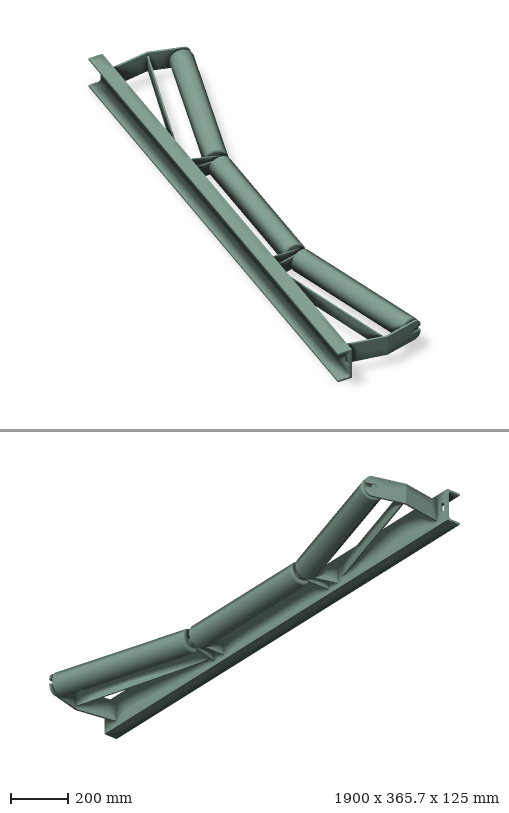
import cadquery as cq
import math

beam_length = 1900.0
beam_depth = 55.0
beam_height = 125.0
beam_wall = 8.0
beam_fillet = 10.0
mount_slot_width = 19.0
mount_slot_height = 35.0
mount_slot_radius = 4.0
mount_slot_from_end = 28.0

roller_length = 570.0
roller_radius = 44.5
roller_chamfer = 4.0
wing_angle = 15.0
centre_axis_y = 173.0
centre_axis_z = -18.0
wing_mid_x = 595.0
wing_mid_y = 250.0
shaft_radius = 10.0
shaft_flat_width = 16.0
wing_shaft_inner_reach = 11.0
wing_shaft_outer_reach = 13.0

inner_bracket_width = 51.0
inner_bracket_thickness = 6.0
inner_bracket_top = 200.0
inner_bracket_gap = 2.0
inner_bracket_top_span = 15.0
inner_bend_radius = 4.0
inner_corner_radius = 17.0
outer_bracket_width = 80.0
outer_bracket_thickness = 8.0
outer_bend_x = 915.0
outer_bend_y = 213.0
outer_foot_x = 891.0
outer_tip_length = 155.0
outer_tip_radius = 27.0

brace_thickness = 6.0
brace_width = 53.0
brace_foot_x = 375.0

overrun = 19.0
slot_reach = 76.0

wing_sin = math.sin(math.radians(wing_angle))
wing_cos = math.cos(math.radians(wing_angle))
wing_tan = wing_sin / wing_cos

wing_drop_sin = -centre_axis_z / roller_length
wing_drop_cos = math.sqrt(1 - wing_drop_sin**2)

centre_axis = cq.Plane(origin=(0, centre_axis_y, centre_axis_z), xDir=(0, 1, 0), normal=(1, 0, 0))
wing_axis = cq.Plane(
    origin=(-wing_mid_x, wing_mid_y, centre_axis_z / 2),
    xDir=(wing_sin, wing_cos, 0),
    normal=(wing_cos * wing_drop_cos, -wing_sin * wing_drop_cos, -wing_drop_sin),
)

beam_trim = cq.Workplane("XY").box(2 * beam_length, 2 * beam_depth, 2 * beam_height)


def make_beam():
    inside_depth = beam_depth - beam_wall
    inside_height = beam_height - 2 * beam_wall
    beam = cq.Workplane("XY").box(beam_length, beam_depth, beam_height, centered=(True, False, True))
    channel_space = (
        cq.Workplane("XY")
        .box(beam_length, inside_depth, inside_height, centered=(True, False, True))
        .edges(">Y and |X")
        .fillet(beam_fillet)
    )
    mount_slots = (
        cq.Workplane("XZ")
        .pushPoints([(side * (beam_length / 2 - mount_slot_from_end), 0) for side in (-1, 1)])
        .rect(mount_slot_width, mount_slot_height)
        .extrude(-beam_depth)
        .edges("|Y")
        .fillet(mount_slot_radius)
    )
    return beam.cut(channel_space).cut(mount_slots)


def make_roller(axis, start_reach, end_reach):
    """A roller about the normal of `axis`; its flatted shaft ends reach past its two end faces."""
    barrel = (
        cq.Workplane("XY", origin=(0, 0, -roller_length / 2))
        .circle(roller_radius)
        .extrude(roller_length)
        .edges("<Z or >Z")
        .chamfer(roller_chamfer)
    )
    shaft_length = roller_length + start_reach + end_reach
    shaft = (
        cq.Workplane("XY", origin=(0, 0, -roller_length / 2 - start_reach))
        .circle(shaft_radius)
        .extrude(shaft_length)
        .intersect(cq.Workplane("XY").box(2 * shaft_radius, shaft_flat_width, 2 * shaft_length))
    )
    return barrel.union(shaft).val().moved(cq.Location(axis))


def make_shaft_slot(axis):
    """Cutter for the open slots at both ends of a roller, round-bottomed where the shaft rests."""
    slot_length = roller_length + 2 * slot_reach
    rest = cq.Workplane("XY", origin=(0, 0, -slot_length / 2)).circle(shaft_radius).extrude(slot_length)
    mouth = cq.Workplane("XY").box(slot_reach, 2 * shaft_radius, slot_length, centered=(False, True, True))
    flats = cq.Workplane("XY").box(2 * slot_reach, shaft_flat_width, slot_length)
    return rest.union(mouth).intersect(flats).val().moved(cq.Location(axis))


def make_folded_bar(points, width, thickness):
    """Flat bar on edge, bent along `points`; its thickness lies to the right of the path."""
    normals = []
    for (x0, y0), (x1, y1) in zip(points, points[1:]):
        run = math.hypot(x1 - x0, y1 - y0)
        normals.append(((y1 - y0) / run, (x0 - x1) / run))
    before = normals[:1] + normals
    after = normals + normals[-1:]
    inner_points = []
    for (x, y), (ax, ay), (bx, by) in zip(points, before, after):
        mitre = thickness / (1 + ax * bx + ay * by)
        inner_points.append((x + mitre * (ax + bx), y + mitre * (ay + by)))
    outline = points + inner_points[::-1]
    return cq.Workplane("XY", origin=(0, 0, -width / 2)).polyline(outline).close().extrude(width)


def make_inner_bracket():
    """Left inner bracket: an upright leg, a short top and a leg square to the wing roller."""
    upright_x = -(roller_length / 2 + inner_bracket_gap)
    top_left_x = upright_x - inner_bracket_thickness - inner_bracket_top_span
    foot_y = beam_depth - overrun
    path = [
        (top_left_x - (inner_bracket_top - foot_y) * wing_tan, foot_y),
        (top_left_x, inner_bracket_top),
        (upright_x, inner_bracket_top),
        (upright_x, foot_y),
    ]
    bracket = make_folded_bar(path, inner_bracket_width, inner_bracket_thickness)
    bracket = bracket.edges("|Z and >Y").fillet(inner_bend_radius)
    rounded_outline = (
        cq.Workplane("XY")
        .box(beam_length, inner_bracket_top, inner_bracket_width, centered=(True, False, True))
        .edges(">Y and |X")
        .fillet(inner_corner_radius)
    )
    return bracket.intersect(rounded_outline).translate((0, 0, centre_axis_z)).cut(beam_trim)


def make_outer_bracket():
    """Left outer bracket: a leaning foot and a rounded tip square to the wing roller."""
    lean = (outer_bend_x - outer_foot_x) / (outer_bend_y - beam_depth)
    path = [
        (-outer_foot_x + lean * overrun, beam_depth - overrun),
        (-outer_bend_x, outer_bend_y),
        (-outer_bend_x + outer_tip_length * wing_sin, outer_bend_y + outer_tip_length * wing_cos),
    ]
    bracket = make_folded_bar(path, outer_bracket_width, outer_bracket_thickness)
    tip = cq.selectors.DirectionMinMaxSelector(cq.Vector(wing_sin, wing_cos, 0))
    bracket = bracket.faces(tip).edges("<Z or >Z").fillet(outer_tip_radius)
    return bracket.cut(beam_trim)


def make_brace(outer_bracket):
    """Left brace: a flat bar from the outer bracket's bend down to the beam, fitted to both."""
    start_x = -outer_bend_x + outer_bracket_thickness / 2
    run = start_x + brace_foot_x
    rise = beam_depth - outer_bend_y
    length = math.hypot(run, rise)
    brace = (
        cq.Workplane("XY")
        .box(length + overrun, brace_thickness, brace_width, centered=(False, True, True))
        .rotate((0, 0, 0), (0, 0, 1), math.degrees(math.atan2(rise, -run)))
        .translate((start_x, outer_bend_y, 0))
    )
    return brace.cut(outer_bracket).cut(beam_trim)


beam = make_beam()
centre_slot = cq.Workplane(make_shaft_slot(centre_axis))
wing_slot = cq.Workplane(make_shaft_slot(wing_axis))
inner_shaft_reach = inner_bracket_gap + inner_bracket_thickness
outer_bracket = make_outer_bracket()
brace = make_brace(outer_bracket)
outer_bracket = outer_bracket.cut(wing_slot)
inner_bracket = make_inner_bracket().cut(centre_slot).cut(wing_slot)
centre_roller = make_roller(centre_axis, inner_shaft_reach, inner_shaft_reach)
wing_roller = make_roller(wing_axis, wing_shaft_outer_reach, wing_shaft_inner_reach)
left_side = [wing_roller, inner_bracket.val(), outer_bracket.val(), brace.val()]
right_side = [body.mirror("YZ") for body in left_side]

result = cq.Compound.makeCompound([beam.val(), centre_roller, *left_side, *right_side])